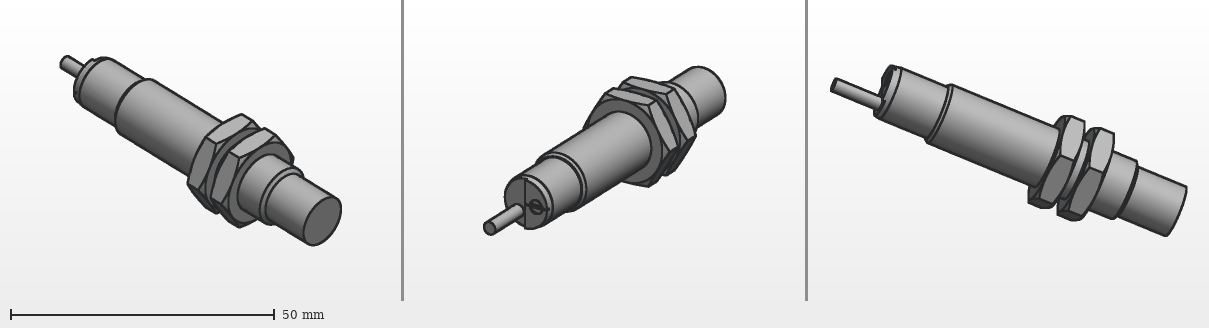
import cadquery as cq
import math

TOTAL_LENGTH = 70.2
RAISED_FACE_X = 9.1
CABLE_FACE_X = 9.75
CAP_RIM_X = 10.4
REAR_SLEEVE_X = 10.8
REAR_CONE_X = 20.5
BARREL_START_X = 21.1
BARREL_END_X = 59.45
NOSE_START_X = 60.1

CAP_DIAMETER = 10.05
CAP_RIM_DIAMETER = 10.4
SLEEVE_DIAMETER = 10.5
NOSE_DIAMETER = 10.2
SHOULDER_DIAMETER = 10.95
BARREL_DIAMETER = 12.0

CABLE_DIAMETER = 2.6
CABLE_Y = 2.0
CABLE_Z = -2.05

SCREW_DIAMETER = 2.8
SCREW_Y = -2.5
SCREW_RECESS = 0.3
SCREW_SLOT_WIDTH = 0.6
SCREW_SLOT_DEPTH = 0.9
GROOVE_WIDTH = 0.2
GROOVE_DEPTH = CABLE_FACE_X - RAISED_FACE_X

NUT_ACROSS_FLATS = 17.0
NUT_THICKNESS = 4.1
NUT_GAP = 2.05
NUT_COUNT = 2
FIRST_NUT_X = 43.4
NUT_CHAMFER_ANGLE = 25.0


def make_turned_housing():
    """Revolve the stepped half outline of the housing about the X axis."""
    sections = [
        (RAISED_FACE_X, CAP_DIAMETER),
        (CABLE_FACE_X, CAP_DIAMETER),
        (CAP_RIM_X, CAP_RIM_DIAMETER),
        (REAR_SLEEVE_X, CAP_RIM_DIAMETER),
        (REAR_SLEEVE_X, SLEEVE_DIAMETER),
        (REAR_CONE_X, SLEEVE_DIAMETER),
        (REAR_CONE_X, SHOULDER_DIAMETER),
        (BARREL_START_X, BARREL_DIAMETER),
        (BARREL_END_X, BARREL_DIAMETER),
        (NOSE_START_X, NOSE_DIAMETER),
        (TOTAL_LENGTH, NOSE_DIAMETER),
    ]
    outline = [(x, diameter / 2) for x, diameter in sections]
    points = [(RAISED_FACE_X, 0), *outline, (TOTAL_LENGTH, 0)]
    return cq.Workplane("XY").polyline(points).close().revolve(360, (0, 0), (1, 0))


def box_from_raised_face(depth, y_low, y_high, width):
    """Box reaching in from the raised cap face, centred on Z = 0."""
    return (
        cq.Workplane("XY")
        .box(depth, y_high - y_low, width, centered=(False, False, True))
        .translate((RAISED_FACE_X, y_low, 0))
    )


def axial_cylinder(x_start, length, diameter, y=0, z=0):
    """Cylinder running along +X from x_start."""
    return cq.Workplane("YZ", origin=(x_start, y, z)).circle(diameter / 2).extrude(length)


def make_housing():
    cap_radius = CAP_DIAMETER / 2
    housing = make_turned_housing()

    step_depth = CABLE_FACE_X - RAISED_FACE_X
    housing = housing.cut(box_from_raised_face(step_depth, 0, cap_radius, CAP_DIAMETER))

    housing = housing.cut(box_from_raised_face(GROOVE_DEPTH, -cap_radius, 0, GROOVE_WIDTH))
    housing = housing.cut(axial_cylinder(RAISED_FACE_X, SCREW_RECESS, SCREW_DIAMETER, SCREW_Y))
    slot = box_from_raised_face(
        SCREW_SLOT_DEPTH, SCREW_Y - SCREW_DIAMETER / 2, SCREW_Y + SCREW_DIAMETER / 2, SCREW_SLOT_WIDTH
    )
    screw_envelope = axial_cylinder(RAISED_FACE_X, SCREW_SLOT_DEPTH, SCREW_DIAMETER, SCREW_Y)
    housing = housing.cut(slot.intersect(screw_envelope))

    cable = axial_cylinder(0, CAP_RIM_X, CABLE_DIAMETER, CABLE_Y, CABLE_Z)
    return housing.union(cable)


def make_nut(x_start):
    """Hexagon nut with corners on +Y and -Y, chamfered on both faces."""
    corner_diameter = NUT_ACROSS_FLATS / math.cos(math.radians(30))
    flat_radius = NUT_ACROSS_FLATS / 2
    corner_radius = corner_diameter / 2
    chamfer_depth = (corner_radius - flat_radius) * math.tan(math.radians(NUT_CHAMFER_ANGLE))
    x_end = x_start + NUT_THICKNESS
    hexagon = cq.Workplane("YZ", origin=(x_start, 0, 0)).polygon(6, corner_diameter).extrude(NUT_THICKNESS)
    chamfer_envelope = (
        cq.Workplane("XY")
        .polyline([
            (x_start, 0),
            (x_start, flat_radius),
            (x_start + chamfer_depth, corner_radius),
            (x_end - chamfer_depth, corner_radius),
            (x_end, flat_radius),
            (x_end, 0),
        ])
        .close()
        .revolve(360, (0, 0), (1, 0))
    )
    bore = axial_cylinder(x_start, NUT_THICKNESS, BARREL_DIAMETER)
    return hexagon.intersect(chamfer_envelope).cut(bore)


housing = make_housing()
nuts = [make_nut(FIRST_NUT_X + index * (NUT_THICKNESS + NUT_GAP)) for index in range(NUT_COUNT)]

result = cq.Compound.makeCompound([housing.val(), *[nut.val() for nut in nuts]])